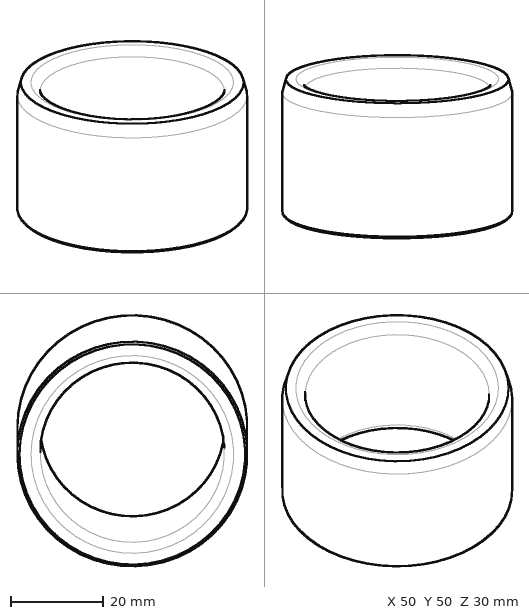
import cadquery as cq
import math

outer_diameter = 50.0
bore_diameter = 40.0
height = 30.0

taper_height = 3.0
taper_angle = 15.0
taper_inset = taper_height * math.tan(math.radians(taper_angle))

bottom_chamfer = 0.5

bore_entry_radius = 2.0

outer_radius = outer_diameter / 2
bore_radius = bore_diameter / 2


def bushing_profile():
    """Half section of the wall: X is the radius, Y the height."""
    arc_offset = bore_entry_radius * (1 - math.sqrt(0.5))
    bottom_arc_middle = (bore_radius + arc_offset, arc_offset)
    top_arc_middle = (bore_radius + arc_offset, height - arc_offset)
    entry_outer_radius = bore_radius + bore_entry_radius
    return (
        cq.Workplane("XZ")
        .moveTo(entry_outer_radius, 0)
        .lineTo(outer_radius - bottom_chamfer, 0)
        .lineTo(outer_radius, bottom_chamfer)
        .lineTo(outer_radius, height - taper_height)
        .lineTo(outer_radius - taper_inset, height)
        .lineTo(entry_outer_radius, height)
        .threePointArc(top_arc_middle, (bore_radius, height - bore_entry_radius))
        .lineTo(bore_radius, bore_entry_radius)
        .threePointArc(bottom_arc_middle, (entry_outer_radius, 0))
        .close()
    )


result = bushing_profile().revolve(360, (0, 0, 0), (0, 1, 0))